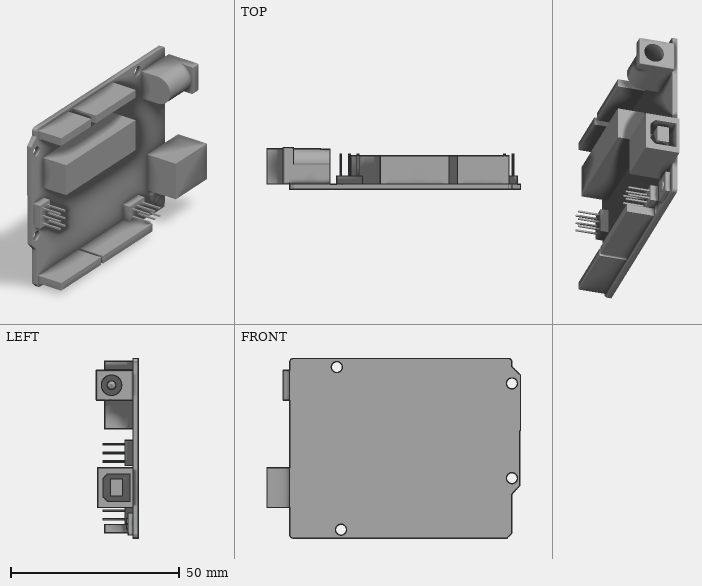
import cadquery as cq
import math


PITCH = 2.54
EMBED = 0.2

BOARD_WIDTH = 53.4
BOARD_THICKNESS = 1.6
BOARD_LENGTH = 68.6
LOWER_TAB_X = 68.35
SHOULDER_X = 66.0
TAB_SLOPE = 2.5
TAB_TOP_Z = 48.45
TAB_STEP_Z = 32.0
TAB_BOTTOM_Z = 15.6
CORNER_CUT = 1.5
CORNER_RADIUS = 1.0
HOLE_DIAMETER = 3.2
HOLE_CENTRES = [(14.0, 50.85), (66.0, 46.0), (66.0, 17.85), (15.25, 2.55)]

STRIP_HEIGHT = 8.4
STRIP_WIDTH = 2.54
STRIP_END_MARGIN = 0.1
STRIP_EDGE_MARGIN = 0.8
DIGITAL_EDGE_MARGIN = 1.6
STRIP_RIGHT_X = 65.15
POWER_CONTACTS = [6, 8]
POWER_GAP = 2.5
DIGITAL_CONTACTS = [8, 10]
DIGITAL_GAP = 1.1

HEADER_HEIGHT = 2.4
PIN_WIDTH = 0.5
PIN_TOP_Y = 10.5
LEFT_HEADER_CENTRE = (17.74, 6.9)
RIGHT_HEADER_CENTRE = (65.05, 25.35)

JACK_WIDTH = 9.0
JACK_CENTRE_Z = 45.45
JACK_FRONT_X = -2.0
JACK_BACK_X = 12.0
FLANGE_BACK_X = 1.1
FLANGE_TOP_Y = 12.5
FLANGE_FILLET = 0.25
BARREL_TOP_Y = 12.0
BORE_Y = 7.95
BORE_DIAMETER = 6.1
BORE_DEPTH = 11.0
JACK_PIN_RADIUS = 1.3
JACK_PIN_LENGTH = 4.0
JACK_PIN_FLAT_RADIUS = 0.2

USB_FRONT_X = -6.8
USB_LENGTH = 16.0
USB_WIDTH = 11.9
USB_TOP_Y = 12.1
USB_CENTRE_Z = 15.05
USB_MOUTH_WIDTH = 8.2
USB_MOUTH_BOTTOM_Y = 2.5
USB_MOUTH_TOP_Y = 10.55
USB_MOUTH_CHAMFER = 1.45
USB_MOUTH_DEPTH = 8.0
TONGUE_WIDTH = 5.1
TONGUE_BOTTOM_Y = 4.75
TONGUE_TOP_Y = 8.2
TONGUE_RECESS = 0.5

BUTTON_BASE_SIZE = 6.6
BUTTON_BASE_HEIGHT = 1.4
BUTTON_CENTRE = (5.5, 4.25)
BUTTON_DIAMETER = 3.1
BUTTON_TOP_Y = 3.45

CHIP_LENGTH = 35.6
CHIP_WIDTH = 10.0
CHIP_LEFT_X = 27.0
CHIP_BOTTOM_Z = 32.5


def block(x_range, y_range, z_range):
    """Axis-aligned box between the given limits."""
    size = [high - low for low, high in (x_range, y_range, z_range)]
    corner = (x_range[0], y_range[0], z_range[0])
    return cq.Workplane("XY").box(*size, centered=False).translate(corner)


def span(centre, size):
    """Limits of a length centred on a position."""
    return (centre - size / 2, centre + size / 2)


def rod_along_y(x, z, diameter, y_range):
    """Round bar parallel to Y."""
    length = y_range[1] - y_range[0]
    axis = cq.Vector(0, 1, 0)
    return cq.Workplane(cq.Solid.makeCylinder(diameter / 2, length, cq.Vector(x, y_range[0], z), axis))


def make_board():
    outline = [
        (0, 0),
        (SHOULDER_X - CORNER_CUT, 0),
        (SHOULDER_X, CORNER_CUT),
        (SHOULDER_X, TAB_BOTTOM_Z - TAB_SLOPE),
        (LOWER_TAB_X, TAB_BOTTOM_Z),
        (LOWER_TAB_X, TAB_STEP_Z),
        (BOARD_LENGTH, TAB_STEP_Z),
        (BOARD_LENGTH, TAB_TOP_Z),
        (SHOULDER_X, TAB_TOP_Z + TAB_SLOPE),
        (SHOULDER_X, BOARD_WIDTH),
        (0, BOARD_WIDTH),
    ]
    board = cq.Workplane("XZ").polyline(outline).close().extrude(-BOARD_THICKNESS)
    rounded_corners = [(0, 0), (0, BOARD_WIDTH), (SHOULDER_X, BOARD_WIDTH)]
    for x, z in rounded_corners:
        corner = cq.selectors.NearestToPointSelector((x, BOARD_THICKNESS / 2, z))
        board = board.edges("|Y").edges(corner).fillet(CORNER_RADIUS)
    for x, z in HOLE_CENTRES:
        board = board.cut(rod_along_y(x, z, HOLE_DIAMETER, (0, BOARD_THICKNESS)))
    return board


def make_strip_row(bottom_z, contact_counts, gap):
    """Row of socket strips, listed from the right-hand end towards -X."""
    row = cq.Workplane("XY")
    y_range = (BOARD_THICKNESS, BOARD_THICKNESS + STRIP_HEIGHT)
    z_range = (bottom_z, bottom_z + STRIP_WIDTH)
    right_x = STRIP_RIGHT_X
    for count in contact_counts:
        left_x = right_x - count * PITCH - STRIP_END_MARGIN
        row = row.add(block((left_x, right_x), y_range, z_range))
        right_x = left_x - gap
    return row.combine()


def make_pin_header(centre, columns, rows):
    """Pin header with its columns spread along X and its rows along Z."""
    centre_x, centre_z = centre
    base_top_y = BOARD_THICKNESS + HEADER_HEIGHT
    header = block(
        span(centre_x, columns * PITCH),
        (BOARD_THICKNESS, base_top_y),
        span(centre_z, rows * PITCH),
    )
    for column in range(columns):
        for row in range(rows):
            x = centre_x + (column - (columns - 1) / 2) * PITCH
            z = centre_z + (row - (rows - 1) / 2) * PITCH
            pin = block(span(x, PIN_WIDTH), (base_top_y - EMBED, PIN_TOP_Y), span(z, PIN_WIDTH))
            header = header.union(pin)
    return header


def make_jack_pin():
    """Contact pin on the bore axis, its free end rounded to a small flat."""
    rounding = JACK_PIN_RADIUS - JACK_PIN_FLAT_RADIUS
    diagonal = rounding * math.sqrt(0.5)
    base_x = JACK_FRONT_X + BORE_DEPTH
    tip_x = base_x - JACK_PIN_LENGTH
    arc_centre_x = tip_x + rounding
    profile = (
        cq.Workplane("XY", origin=(0, BORE_Y, JACK_CENTRE_Z))
        .moveTo(tip_x, 0)
        .lineTo(tip_x, JACK_PIN_FLAT_RADIUS)
        .threePointArc(
            (arc_centre_x - diagonal, JACK_PIN_FLAT_RADIUS + diagonal),
            (arc_centre_x, JACK_PIN_RADIUS),
        )
        .lineTo(base_x + EMBED, JACK_PIN_RADIUS)
        .lineTo(base_x + EMBED, 0)
        .close()
    )
    return profile.revolve(360, (0, 0, 0), (1, 0, 0))


def make_power_jack():
    z_range = span(JACK_CENTRE_Z, JACK_WIDTH)
    flange = block((JACK_FRONT_X, FLANGE_BACK_X), (BOARD_THICKNESS, FLANGE_TOP_Y), z_range)
    flange = flange.edges("<X or |X").fillet(FLANGE_FILLET)

    barrel_radius = JACK_WIDTH / 2
    barrel_y = BARREL_TOP_Y - barrel_radius
    barrel_length = JACK_BACK_X - FLANGE_BACK_X
    base = block((0, JACK_BACK_X), (BOARD_THICKNESS, barrel_y), z_range)
    axis = cq.Vector(1, 0, 0)
    barrel_start = cq.Vector(FLANGE_BACK_X, barrel_y, JACK_CENTRE_Z)
    barrel = cq.Workplane(cq.Solid.makeCylinder(barrel_radius, barrel_length, barrel_start, axis))

    bore_start = cq.Vector(JACK_FRONT_X, BORE_Y, JACK_CENTRE_Z)
    bore = cq.Workplane(cq.Solid.makeCylinder(BORE_DIAMETER / 2, BORE_DEPTH, bore_start, axis))
    return flange.union(base).union(barrel).cut(bore).union(make_jack_pin())


def make_usb_socket():
    shell = block(
        (USB_FRONT_X, USB_FRONT_X + USB_LENGTH),
        (BOARD_THICKNESS, USB_TOP_Y),
        span(USB_CENTRE_Z, USB_WIDTH),
    )
    mouth_back_x = USB_FRONT_X + USB_MOUTH_DEPTH
    mouth = block(
        (USB_FRONT_X, mouth_back_x),
        (USB_MOUTH_BOTTOM_Y, USB_MOUTH_TOP_Y),
        span(USB_CENTRE_Z, USB_MOUTH_WIDTH),
    )
    mouth = mouth.faces(">Y").edges("|X").chamfer(USB_MOUTH_CHAMFER)
    tongue = block(
        (USB_FRONT_X + TONGUE_RECESS, mouth_back_x + EMBED),
        (TONGUE_BOTTOM_Y, TONGUE_TOP_Y),
        span(USB_CENTRE_Z, TONGUE_WIDTH),
    )
    return shell.cut(mouth).union(tongue)


def make_reset_button():
    x, z = BUTTON_CENTRE
    base_top_y = BOARD_THICKNESS + BUTTON_BASE_HEIGHT
    base = block(span(x, BUTTON_BASE_SIZE), (BOARD_THICKNESS, base_top_y), span(z, BUTTON_BASE_SIZE))
    return base.union(rod_along_y(x, z, BUTTON_DIAMETER, (base_top_y - EMBED, BUTTON_TOP_Y)))


def make_chip():
    """Socketed chip, level with the socket strips."""
    return block(
        (CHIP_LEFT_X, CHIP_LEFT_X + CHIP_LENGTH),
        (BOARD_THICKNESS, BOARD_THICKNESS + STRIP_HEIGHT),
        (CHIP_BOTTOM_Z, CHIP_BOTTOM_Z + CHIP_WIDTH),
    )


power_strips_z = BOARD_WIDTH - STRIP_EDGE_MARGIN - STRIP_WIDTH
components = [
    make_strip_row(power_strips_z, POWER_CONTACTS, POWER_GAP),
    make_strip_row(DIGITAL_EDGE_MARGIN, DIGITAL_CONTACTS, DIGITAL_GAP),
    make_pin_header(LEFT_HEADER_CENTRE, columns=3, rows=2),
    make_pin_header(RIGHT_HEADER_CENTRE, columns=2, rows=3),
    make_power_jack(),
    make_usb_socket(),
    make_reset_button(),
    make_chip(),
]

result = make_board()
for component in components:
    result = result.union(component)